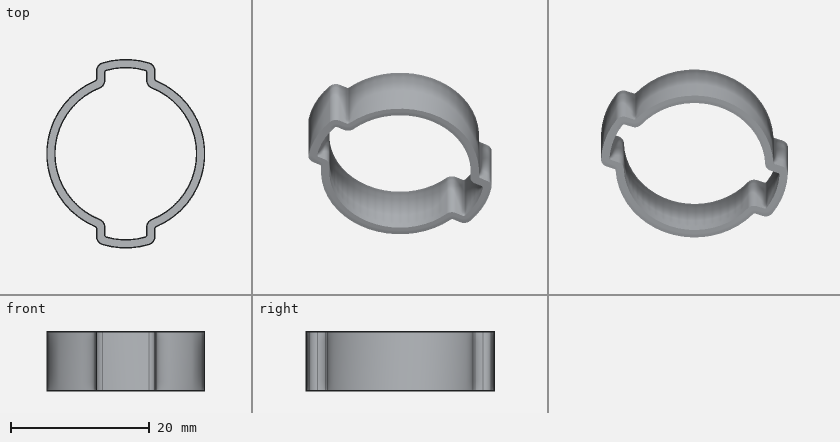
import cadquery as cq

height = 8.5
wall = 1.2
band_radius = 11.35
ear_reach = 13.55
ear_width = 8.4
tight_bend = 0.33
crown_bend = 1.2
neck_bend = 1.2
ear_shift = ear_reach - band_radius


def eared_disc(radius, width, corner_radius, neck_radius):
    """Solid disc with two opposite ears along Y and rounded bends.

    Each ear is a strip of the disc moved outward, so its crown keeps the disc radius.
    """
    disc = cq.Workplane("XY").circle(radius).extrude(height)
    strip = disc.intersect(cq.Workplane("XY").rect(width, 2 * radius).extrude(height))
    for shift in (-ear_shift, ear_shift):
        disc = disc.union(strip.translate((0, shift, 0)))

    half_width = width / 2
    neck_y = (radius**2 - half_width**2) ** 0.5
    crown_y = neck_y + ear_shift
    for bend_y, bend_radius in ((crown_y, corner_radius), (neck_y, neck_radius)):
        for side_x in (-half_width, half_width):
            for end_y in (-bend_y, bend_y):
                edge = cq.selectors.NearestToPointSelector((side_x, end_y, height / 2))
                disc = disc.edges("|Z").edges(edge).fillet(bend_radius)
    return disc


outside = eared_disc(band_radius, ear_width, crown_bend, tight_bend)
opening = eared_disc(band_radius - wall, ear_width - 2 * wall, tight_bend, neck_bend)

result = outside.cut(opening)